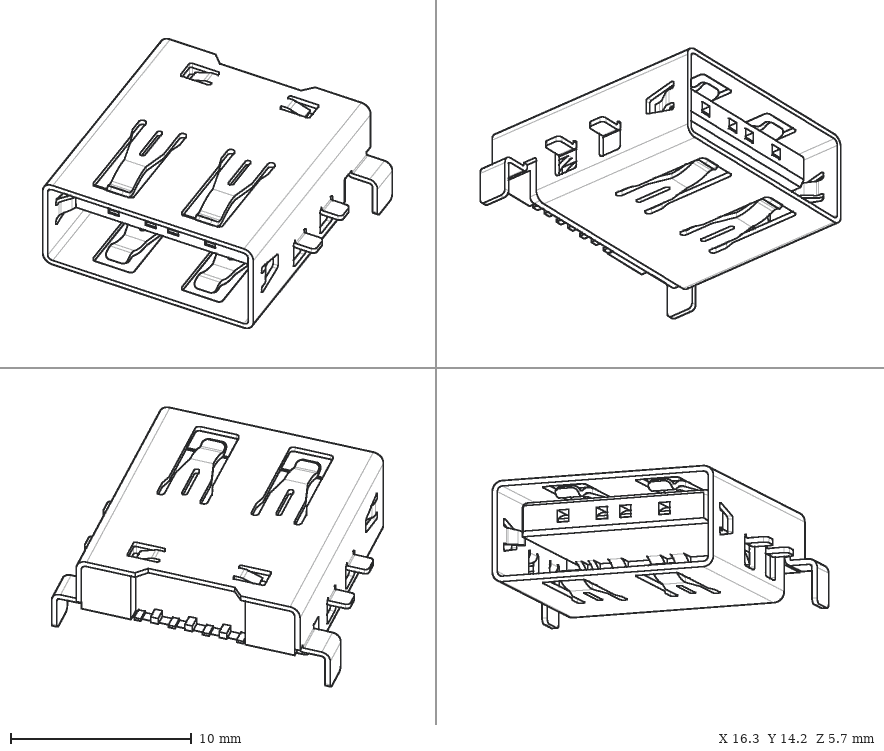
import cadquery as cq
import math


shell_width = 13.1
shell_height = 5.7
shell_length = 14.2
sheet = 0.31
corner_radius = 0.6
half_width = shell_width / 2
mid_height = shell_height / 2

notch_outer_half = 3.1
notch_inner_half = 2.53
notch_depth = 0.6
side_cut_top = 2.72
side_cut_front = 10.99
side_cut_radius = 0.15

overall_width = 16.3
tab_top = 2.53
tab_bend_radius = 0.07
tab_width = 1.06
tab_reach = 7.78
tab_corner_radius = 0.23
tab_places = (5.64, 8.83)
tab_window_width = 1.52
tab_window_bottom = 0.93
tab_window_radius = 0.21
leg_width = 1.81
leg_rear = 13.71
leg_bend_radius = 0.5
leg_corner_radius = 0.31

spring_offset = 2.75
spring_width = 1.35
spring_root = 3.81
spring_dip_angle = 30
spring_dip_radius = 3.05
spring_valley_radius = 0.4
spring_curl_radius = 0.49
spring_tip_angle = 58
spring_tip_radius = 0.31
leaf_half_width = 1.05
leaf_taper_start = 5.23
slot_front = 1.03
slot_half_width = 1.27
slot_widening = (5.7, 6.34)
slot_lobe_half = 1.47
slot_rear = 7.32
slot_corner_radius = 0.23
relief_width = 0.31
relief_front = 4.56
relief_rear = 6.9

side_spring_height = 2.87
side_spring_root = 1.37
side_spring_root_half = 0.47
side_spring_end = 2.84
side_spring_end_half = 0.33
side_spring_angle = 34
side_spring_radius = 0.55
side_spring_slope = 0.68
side_spring_land = 0.31
side_slot_front = 1.01
side_slot_rear = 3.0
side_slot_front_half = 0.95
side_slot_radius = 0.15

latch_inner = 2.17
latch_outer = 4.03
latch_center = 12.29
latch_opening_length = 1.25
latch_width = 0.77
latch_flat = 0.33
latch_bend_radius = 0.59
latch_angle = 20
latch_slope = 0.95
latch_corner_radius = 0.11
latch_pocket_depth = 0.49

block_front = 10.75
lower_block_rear = 11.7
block_underside = 2.28
recess_half_width = 3.34
recess_front = 13.37
tongue_front = 1.68
tongue_half_width = 5.57
tongue_bottom = 2.89
tongue_top = 4.78
tongue_corner_radius = 0.33
tongue_bevel = 0.23
tongue_bevel_length = 0.42
rib_bottom = 2.22
rib_run = 1.06
rib_hollow_share = 0.4
narrow_rib_width = 0.33
narrow_rib_offsets = (4.42, 5.15)
wide_rib_width = 0.8
rear_post_pitch = 2.0
rear_post_width = 0.44
rear_post_top = 2.69

contact_offsets = (0.7, 3.0)
contact_width = 0.65
contact_thickness = 0.16
contact_top = 4.15
contact_angle = 30
contact_dip_radius = 3.59
contact_tip = 1.78
contact_tip_trim = 0.33
contact_window_bottom = 3.49
riser_front = 12.22
tail_offsets = (1.0, 3.0)
tail_width = 0.39
tail_rear = 14.08
tail_bottom = 2.22
contact_dip_start = contact_tip + contact_dip_radius * math.sin(math.radians(contact_angle))


def block(x0, x1, y0, y1, z0, z1):
    """Axis-aligned box between two corners."""
    return cq.Workplane("XY").box(x1 - x0, y1 - y0, z1 - z0, centered=False).translate((x0, y0, z0))


def both_sides(body):
    """A body on the +X side together with its mirror image."""
    return body.union(body.mirror("YZ"))


def bent_strip(plane, start, heading, moves, thickness, width, end_radius=0):
    """Bent strip whose outer face follows the moves; the metal lies to the right of that path.

    A move is ("line", length) or ("bend", radius of the outer face, angle), left turns positive.
    """
    angle = math.radians(heading)
    x, y = start

    def inner(px, py, direction):
        return (px + thickness * math.sin(direction), py - thickness * math.cos(direction))

    outer_points = [(x, y)]
    inner_points = [inner(x, y, angle)]
    for kind, size, *turn in moves:
        if kind == "line":
            x += size * math.cos(angle)
            y += size * math.sin(angle)
        else:
            side = math.copysign(1, turn[0])
            center_x = x - side * size * math.sin(angle)
            center_y = y + side * size * math.cos(angle)
            start_angle = angle
            for share in (0.5, 1.0):
                angle = start_angle + share * math.radians(turn[0])
                x = center_x + side * size * math.sin(angle)
                y = center_y - side * size * math.cos(angle)
                if share < 1:
                    outer_points.append((x, y))
                    inner_points.append(inner(x, y, angle))
        outer_points.append((x, y))
        inner_points.append(inner(x, y, angle))

    outline = cq.Workplane(plane).moveTo(*outer_points[0])
    index = 0
    for kind, *_ in moves:
        if kind == "line":
            outline = outline.lineTo(*outer_points[index + 1])
            index += 1
        else:
            outline = outline.threePointArc(outer_points[index + 1], outer_points[index + 2])
            index += 2
    outline = outline.lineTo(*inner_points[index])
    for kind, *_ in reversed(moves):
        if kind == "line":
            outline = outline.lineTo(*inner_points[index - 1])
            index -= 1
        else:
            outline = outline.threePointArc(inner_points[index - 1], inner_points[index - 2])
            index -= 2
    strip = outline.close().extrude(width / 2, both=True)

    if end_radius:
        end_x = (outer_points[-1][0] + inner_points[-1][0]) / 2
        end_y = (outer_points[-1][1] + inner_points[-1][1]) / 2
        for side in (-1, 1):
            corner = plane.toWorldCoords((end_x, end_y, side * width / 2))
            strip = strip.edges(cq.NearestToPointSelector(corner.toTuple())).fillet(end_radius)
    return strip


def shell_interior(y0, y1):
    """Solid that fills the inside of the shell between two places along Y."""
    return (
        cq.Workplane("XZ", origin=(0, y0, mid_height))
        .rect(shell_width - 2 * sheet, shell_height - 2 * sheet)
        .extrude(y0 - y1)
        .edges("|Y")
        .fillet(corner_radius - sheet)
    )


def shell_tube():
    tube = (
        cq.Workplane("XZ", origin=(0, 0, mid_height))
        .rect(shell_width, shell_height)
        .extrude(-shell_length)
        .edges("|Y")
        .fillet(corner_radius)
    )
    return tube.cut(shell_interior(0, shell_length))


def rear_notch():
    """Notch with slanted ends in the rear edge of the top wall."""
    return (
        cq.Workplane("XY", origin=(0, 0, mid_height))
        .moveTo(-notch_outer_half, shell_length)
        .lineTo(-notch_inner_half, shell_length - notch_depth)
        .lineTo(notch_inner_half, shell_length - notch_depth)
        .lineTo(notch_outer_half, shell_length)
        .close()
        .extrude(mid_height)
    )


def rear_side_cut():
    """Lower rear corner removed from both side walls and the bottom wall."""
    cut = block(-half_width, half_width, side_cut_front, shell_length, 0, side_cut_top)
    return cut.edges("|X and >Z and <Y").fillet(side_cut_radius)


def tab_windows():
    windows = cq.Workplane("XY")
    for place in tab_places:
        y0 = place - tab_window_width / 2
        window = block(-half_width, half_width, y0, y0 + tab_window_width, tab_window_bottom, side_cut_top)
        windows = windows.union(window.edges("|X").fillet(tab_window_radius))
    return windows


def wall_tab(center, width, moves, end_radius):
    """Tab on the +X wall that turns outward below the wall and then follows the moves."""
    plane = cq.Plane(origin=(0, center, 0), xDir=(1, 0, 0), normal=(0, -1, 0))
    root = [("line", side_cut_top - tab_top - tab_bend_radius), ("bend", tab_bend_radius, 90)]
    return bent_strip(plane, (half_width, side_cut_top), -90, root + moves, sheet, width, end_radius)


def board_tabs():
    tabs = cq.Workplane("XY")
    bend_end = half_width + tab_bend_radius
    for place in tab_places:
        reach = [("line", tab_reach - bend_end)]
        tabs = tabs.union(wall_tab(place, tab_width, reach, tab_corner_radius))
    leg_moves = [
        ("line", overall_width / 2 - leg_bend_radius - bend_end),
        ("bend", leg_bend_radius, -90),
        ("line", tab_top - leg_bend_radius),
    ]
    leg = wall_tab(leg_rear - leg_width / 2, leg_width, leg_moves, leg_corner_radius)
    return both_sides(tabs.union(leg))


def on_all_spring_places(body):
    """Copies of a body at the two places in the top wall and the two in the bottom wall."""
    pair = both_sides(body.translate((spring_offset, 0, 0)))
    return pair.union(pair.mirror("XY", (0, 0, mid_height)))


def spring_slots():
    """Slots that free the springs, each with a narrow relief slot along the leaf."""
    lobe_radius = (slot_lobe_half - leaf_half_width) / 2
    lobe_center = slot_rear - lobe_radius
    lobe_middle = (slot_lobe_half + leaf_half_width) / 2
    slot = (
        cq.Workplane("XY", origin=(0, 0, shell_height - sheet))
        .moveTo(-leaf_half_width, lobe_center)
        .threePointArc((-lobe_middle, slot_rear), (-slot_lobe_half, lobe_center))
        .lineTo(-slot_lobe_half, slot_widening[1])
        .lineTo(-slot_half_width, slot_widening[0])
        .lineTo(-slot_half_width, slot_front)
        .lineTo(slot_half_width, slot_front)
        .lineTo(slot_half_width, slot_widening[0])
        .lineTo(slot_lobe_half, slot_widening[1])
        .lineTo(slot_lobe_half, lobe_center)
        .threePointArc((lobe_middle, slot_rear), (leaf_half_width, lobe_center))
        .lineTo(leaf_half_width, leaf_taper_start)
        .lineTo(spring_width / 2, spring_root)
        .lineTo(-spring_width / 2, spring_root)
        .lineTo(-leaf_half_width, leaf_taper_start)
        .close()
        .extrude(sheet)
    )
    slot = slot.edges("|Z and <Y").fillet(slot_corner_radius)
    relief = (
        cq.Workplane("XY", origin=(0, (relief_front + relief_rear) / 2, shell_height - sheet))
        .slot2D(relief_rear - relief_front, relief_width, 90)
        .extrude(sheet)
    )
    return on_all_spring_places(slot.union(relief))


def springs():
    """Spring ends that dip into the shell and curl back at the tip."""
    plane = cq.Plane(origin=(0, 0, 0), xDir=(0, -1, 0), normal=(-1, 0, 0))
    moves = [
        ("bend", spring_dip_radius, -spring_dip_angle),
        ("bend", spring_valley_radius, spring_dip_angle),
        ("bend", spring_curl_radius, spring_tip_angle),
    ]
    start = (-spring_root, shell_height)
    return on_all_spring_places(
        bent_strip(plane, start, 0, moves, sheet, spring_width, spring_tip_radius)
    )


def side_slots():
    """Tapered slots around the side springs."""
    slot = (
        cq.Workplane("YZ", origin=(-half_width, 0, side_spring_height))
        .moveTo(side_slot_rear, -side_spring_root_half)
        .lineTo(side_slot_rear, side_spring_root_half)
        .lineTo(side_slot_front, side_slot_front_half)
        .lineTo(side_slot_front, side_spring_root_half)
        .lineTo(side_spring_root, side_spring_root_half)
        .lineTo(side_spring_root, -side_spring_root_half)
        .lineTo(side_slot_front, -side_spring_root_half)
        .lineTo(side_slot_front, -side_slot_front_half)
        .close()
        .extrude(shell_width)
    )
    slot = slot.edges("|X and >Y").fillet(side_slot_radius)
    return slot.edges("|X and <Y").fillet(side_slot_radius)


def side_springs():
    """Tapered tongues of the side walls, pushed inward and parallel to the wall at the end."""
    plane = cq.Plane(origin=(0, 0, side_spring_height), xDir=(0, 1, 0), normal=(0, 0, -1))
    moves = [
        ("bend", side_spring_radius, -side_spring_angle),
        ("line", side_spring_slope),
        ("bend", side_spring_radius, side_spring_angle),
        ("line", side_spring_land),
    ]
    start = (side_spring_root, half_width)
    strip = bent_strip(plane, start, 0, moves, sheet, 2 * side_spring_root_half)
    taper = (
        cq.Workplane("YZ", origin=(0, 0, side_spring_height))
        .moveTo(side_spring_root, -side_spring_root_half)
        .lineTo(side_spring_root, side_spring_root_half)
        .lineTo(side_spring_end, side_spring_end_half)
        .lineTo(side_spring_end, -side_spring_end_half)
        .close()
        .extrude(half_width)
    )
    return both_sides(strip.intersect(taper))


def latch_openings(z0, z1):
    """Rectangles with rounded corners at the two latches, between two heights."""
    opening = block(
        latch_inner,
        latch_outer,
        latch_center - latch_opening_length / 2,
        latch_center + latch_opening_length / 2,
        z0,
        z1,
    )
    return both_sides(opening.edges("|Z").fillet(latch_corner_radius))


def latches():
    """Flaps of the top wall bent down into the insulator."""
    plane = cq.Plane(origin=(0, latch_center, 0), xDir=(1, 0, 0), normal=(0, -1, 0))
    moves = [
        ("line", latch_flat),
        ("bend", latch_bend_radius, -latch_angle),
        ("line", latch_slope),
    ]
    return both_sides(bent_strip(plane, (latch_inner, shell_height), 0, moves, sheet, latch_width))


def make_shell():
    shell = shell_tube().cut(rear_notch()).cut(rear_side_cut()).cut(tab_windows())
    shell = shell.cut(spring_slots()).cut(side_slots())
    shell = shell.cut(latch_openings(shell_height - sheet, shell_height))
    return shell.union(board_tabs()).union(springs()).union(side_springs()).union(latches())


def contact_shape(side, offset, tail_offset):
    """Contact with a dipped tip in the tongue, a riser in the block and a rear tail."""
    plane = cq.Plane(origin=(side * offset, 0, 0), xDir=(0, -1, 0), normal=(-1, 0, 0))
    strip = bent_strip(
        plane,
        (-riser_front, contact_top),
        0,
        [
            ("line", riser_front - contact_dip_start),
            ("bend", contact_dip_radius, -contact_angle),
            ("line", contact_tip_trim),
        ],
        contact_thickness,
        contact_width,
    )
    strip = strip.intersect(
        block(-half_width, half_width, contact_tip, shell_length, 0, shell_height)
    )
    x0 = side * offset - contact_width / 2
    riser_rear = riser_front + contact_thickness
    riser = block(x0, x0 + contact_width, riser_front, riser_rear, tail_bottom, contact_top)
    x0 = side * tail_offset - tail_width / 2
    tail_top = tail_bottom + contact_thickness
    tail = block(x0, x0 + tail_width, riser_front, tail_rear, tail_bottom, tail_top)
    return strip.union(riser).union(tail)


def make_contacts():
    return [
        contact_shape(side, offset, tail_offset)
        for side in (-1, 1)
        for offset, tail_offset in zip(contact_offsets, tail_offsets)
    ]


def insulator_block():
    """Rear block that fills the shell, stepped at the underside and recessed at the rear."""
    body = shell_interior(block_front, shell_length)
    body = body.cut(block(-half_width, half_width, lower_block_rear, shell_length, 0, block_underside))
    return body.cut(
        block(-recess_half_width, recess_half_width, recess_front, shell_length, 0, shell_height)
    )


def tongue():
    body = block(
        -tongue_half_width, tongue_half_width, tongue_front, block_front, tongue_bottom, tongue_top
    )
    body = body.edges("|Y and >Z").fillet(tongue_corner_radius)
    return body.faces("<Y").chamfer(tongue_bevel, tongue_bevel_length)


def rib(center, width):
    """Curved rib between the underside of the tongue and the front of the block."""
    height = tongue_bottom - rib_bottom
    arc_middle = (block_front - rib_hollow_share * rib_run, tongue_bottom - rib_hollow_share * height)
    return (
        cq.Workplane("YZ", origin=(center - width / 2, 0, 0))
        .moveTo(block_front, tongue_bottom)
        .lineTo(block_front - rib_run, tongue_bottom)
        .threePointArc(arc_middle, (block_front, rib_bottom))
        .close()
        .extrude(width)
    )


def ribs():
    body = cq.Workplane("XY")
    for side in (-1, 1):
        for offset in narrow_rib_offsets:
            body = body.union(rib(side * offset, narrow_rib_width))
        for offset in contact_offsets:
            body = body.union(rib(side * offset, wide_rib_width))
    return body


def rear_posts():
    """Posts that stand between the contact tails."""
    body = cq.Workplane("XY")
    for step in (-1, 0, 1):
        x0 = step * rear_post_pitch - rear_post_width / 2
        post = block(x0, x0 + rear_post_width, recess_front, tail_rear, block_underside, rear_post_top)
        body = body.union(post)
    return body


def contact_windows():
    """Windows in the front of the tongue, open down to the dipped contact tips."""
    tip_top = contact_top - contact_dip_radius * (1 - math.cos(math.radians(contact_angle)))
    half_angle = math.radians(contact_angle / 2)
    arc_middle = (
        contact_dip_start - contact_dip_radius * math.sin(half_angle),
        contact_top - contact_dip_radius * (1 - math.cos(half_angle)),
    )
    windows = cq.Workplane("XY")
    for side in (-1, 1):
        for offset in contact_offsets:
            window = (
                cq.Workplane("YZ", origin=(side * offset - contact_width / 2, 0, 0))
                .moveTo(contact_dip_start, contact_top)
                .threePointArc(arc_middle, (contact_tip, tip_top))
                .lineTo(contact_tip, contact_window_bottom)
                .lineTo(tongue_front, contact_window_bottom)
                .lineTo(tongue_front, contact_top)
                .close()
                .extrude(contact_width)
            )
            windows = windows.union(window)
    return windows


def make_insulator(contacts):
    body = insulator_block().union(tongue()).union(ribs()).union(rear_posts())
    roof = shell_height - sheet
    body = body.cut(contact_windows())
    body = body.cut(latch_openings(roof - latch_pocket_depth, roof))
    for contact in contacts:
        body = body.cut(contact)
    return body


contacts = make_contacts()
shell = make_shell()
insulator = make_insulator(contacts)

result = cq.Compound.makeCompound(
    [shell.val(), insulator.val(), *[contact.val() for contact in contacts]]
)